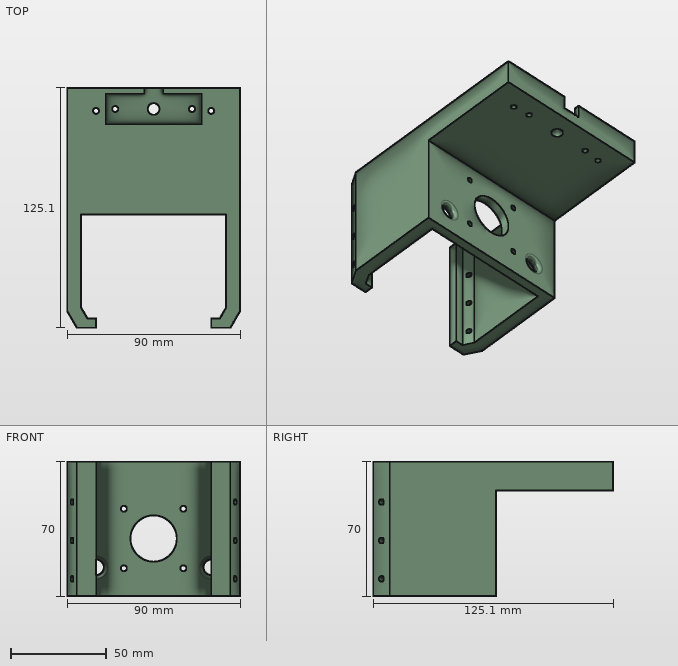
import cadquery as cq
import math

width = 90.0
height = 70.0
total_length = 125.06
shelf_length = 61.0
shelf_thickness = 15.0
cradle_depth = total_length - shelf_length

back_thickness = 5.0
side_thickness = 7.3
lip_thickness = 5.0
lip_reach = 15.0
bevel_angle = math.radians(60)
bevel_width = 5.0
bevel_length = bevel_width * math.tan(bevel_angle)

motor_height = 30.0
motor_bore = 24.0
motor_screw_pitch = 31.0

rod_spacing = 60.0
rod_height = 15.0
rod_diameter = 8.0
rod_edge_radius = 2.0

screw_diameter = 3.0
bevel_screw_heights = (9.0, 29.0, 49.0)

pocket_length = 50.0
pocket_width = 16.0
pocket_depth = 8.0
pocket_rear_wall = 3.0
notch_width = 10.0
pocket_screw_spacing = 40.0
pocket_bore = 6.0
shelf_screw_spacing = 60.0
shelf_screw_inset = 12.0

front_y = -cradle_depth
rear_y = shelf_length
pocket_y = rear_y - pocket_rear_wall - pocket_width / 2


def make_cradle():
    """U-shaped cradle with bevelled, inward-hooked side walls."""
    half_width = width / 2
    inner_x = half_width - side_thickness
    lip_y = front_y + lip_thickness
    outer_bevel_x = half_width - bevel_width + lip_thickness / math.tan(bevel_angle)
    inner_bevel_x = outer_bevel_x - side_thickness / math.sin(bevel_angle)
    inner_bevel_y = lip_y + (inner_x - inner_bevel_x) * math.tan(bevel_angle)
    right_half = [
        (0, 0),
        (half_width, 0),
        (half_width, front_y + bevel_length),
        (half_width - bevel_width, front_y),
        (half_width - lip_reach, front_y),
        (half_width - lip_reach, lip_y),
        (inner_bevel_x, lip_y),
        (inner_x, inner_bevel_y),
        (inner_x, -back_thickness),
        (0, -back_thickness),
    ]
    half = cq.Workplane("XY").polyline(right_half).close().extrude(height)
    return half.union(half.mirror("YZ"))


def make_shelf():
    """Flat shelf flush with the top of the cradle."""
    corner = (-width / 2, 0, height - shelf_thickness)
    return cq.Workplane("XY").box(width, shelf_length, shelf_thickness, centered=False).translate(corner)


def motor_holes():
    """Motor bore and its four screw holes."""
    wall = cq.Workplane("XZ")
    bore = wall.center(0, motor_height).circle(motor_bore / 2).extrude(back_thickness)
    screws = (
        wall.center(0, motor_height)
        .rect(motor_screw_pitch, motor_screw_pitch, forConstruction=True)
        .vertices()
        .circle(screw_diameter / 2)
        .extrude(back_thickness)
    )
    return bore.add(screws)


def rod_hole(x):
    """Rod hole through the back wall, flared by a rounded edge at both faces."""
    bore_radius = rod_diameter / 2
    mouth_radius = bore_radius + rod_edge_radius
    arc_inset = rod_edge_radius * (1 - math.sqrt(0.5))
    front_face = -back_thickness
    profile = (
        cq.Workplane("XY")
        .moveTo(0, 0)
        .lineTo(mouth_radius, 0)
        .threePointArc((bore_radius + arc_inset, -arc_inset), (bore_radius, -rod_edge_radius))
        .lineTo(bore_radius, front_face + rod_edge_radius)
        .threePointArc((bore_radius + arc_inset, front_face + arc_inset), (mouth_radius, front_face))
        .lineTo(0, front_face)
        .close()
    )
    return profile.revolve(360, (0, 0), (0, 1)).translate((x, 0, rod_height))


def bevel_screw_holes():
    """Rows of screw holes through the middle of both bevelled corners."""
    cutters = cq.Workplane("XY")
    for side in (-1, 1):
        inward = cq.Vector(-side * math.sin(bevel_angle), math.cos(bevel_angle), 0)
        for z in bevel_screw_heights:
            face_centre = cq.Vector(side * (width - bevel_width) / 2, front_y + bevel_length / 2, z)
            start = face_centre - inward * screw_diameter
            length = side_thickness + 2 * screw_diameter
            cutters = cutters.add(cq.Solid.makeCylinder(screw_diameter / 2, length, start, inward))
    return cutters


def shelf_pocket():
    """Rectangular pocket with a notch through its rear wall."""
    top = cq.Workplane("XY", origin=(0, 0, height))
    pocket = top.center(0, pocket_y).rect(pocket_length, pocket_width).extrude(-pocket_depth)
    notch_length = rear_y - pocket_y
    notch = top.center(0, pocket_y + notch_length / 2).rect(notch_width, notch_length).extrude(-pocket_depth)
    return pocket.union(notch)


def shelf_holes():
    """Vertical holes through the shelf, inside and beside the pocket."""
    top = cq.Workplane("XY", origin=(0, 0, height))
    bore = top.center(0, pocket_y).circle(pocket_bore / 2).extrude(-shelf_thickness)
    screw_y = rear_y - shelf_screw_inset
    screw_points = []
    for side in (-1, 1):
        screw_points.append((side * pocket_screw_spacing / 2, pocket_y))
        screw_points.append((side * shelf_screw_spacing / 2, screw_y))
    screws = top.pushPoints(screw_points).circle(screw_diameter / 2).extrude(-shelf_thickness)
    return bore.add(screws)


def cut_all(body, cutters):
    """Remove every solid held by a workplane from the body."""
    for cutter in cutters.vals():
        body = body.cut(cq.Workplane(cutter))
    return body


result = make_cradle().union(make_shelf())
result = result.cut(shelf_pocket())
result = cut_all(result, shelf_holes())
result = cut_all(result, motor_holes())
for side in (-1, 1):
    result = result.cut(rod_hole(side * rod_spacing / 2))
result = cut_all(result, bevel_screw_holes())